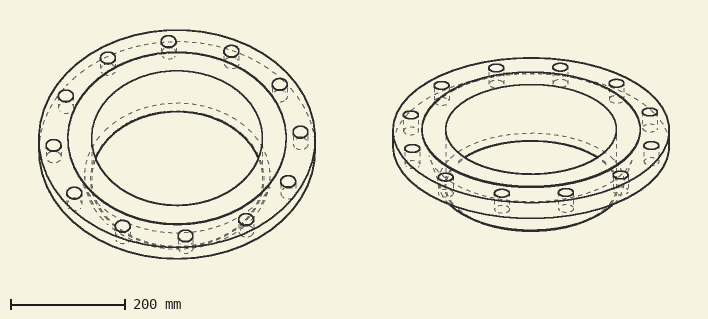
import cadquery as cq

flange_diameter = 482.5
flange_thickness = 32.5
face_diameter = 381.3
face_height = 2.0
total_height = 116.0

bore_diameter = 298.2
hub_diameter = 363.0
neck_diameter = 324.0
neck_length = 17.0
bevel_width = 10.5
bevel_height = 8.5
hub_fillet = 7.0

bolt_count = 12
bolt_circle_diameter = 432.0
bolt_hole_diameter = 26.0

flange_top = total_height - face_height
flange_bottom = flange_top - flange_thickness


def flange_body():
    """Revolve the flange, tapered hub and bevelled neck around the bore axis."""
    bore_radius = bore_diameter / 2
    neck_radius = neck_diameter / 2
    profile = (
        cq.Workplane("XZ")
        .moveTo(bore_radius, 0)
        .lineTo(neck_radius - bevel_width, 0)
        .lineTo(neck_radius, bevel_height)
        .lineTo(neck_radius, neck_length)
        .lineTo(hub_diameter / 2, flange_bottom)
        .lineTo(flange_diameter / 2, flange_bottom)
        .lineTo(flange_diameter / 2, flange_top)
        .lineTo(face_diameter / 2, flange_top)
        .lineTo(face_diameter / 2, total_height)
        .lineTo(bore_radius, total_height)
        .close()
    )
    return profile.revolve(360, (0, 0, 0), (0, 1, 0))


def fillet_hub_root(body):
    """Round the inside corner where the hub meets the flange underside."""
    half = hub_diameter / 2 + hub_fillet
    margin = 0.5
    root_box = cq.selectors.BoxSelector(
        (-half, -half, flange_bottom - margin), (half, half, flange_bottom + margin), boundingbox=True
    )
    return body.edges(root_box).fillet(hub_fillet)


def bolt_holes():
    """Through holes on the bolt circle, starting on the X axis."""
    return (
        cq.Workplane("XY")
        .workplane(offset=flange_bottom)
        .polarArray(bolt_circle_diameter / 2, 0, 360, bolt_count)
        .circle(bolt_hole_diameter / 2)
        .extrude(flange_thickness)
    )


result = fillet_hub_root(flange_body()).cut(bolt_holes())